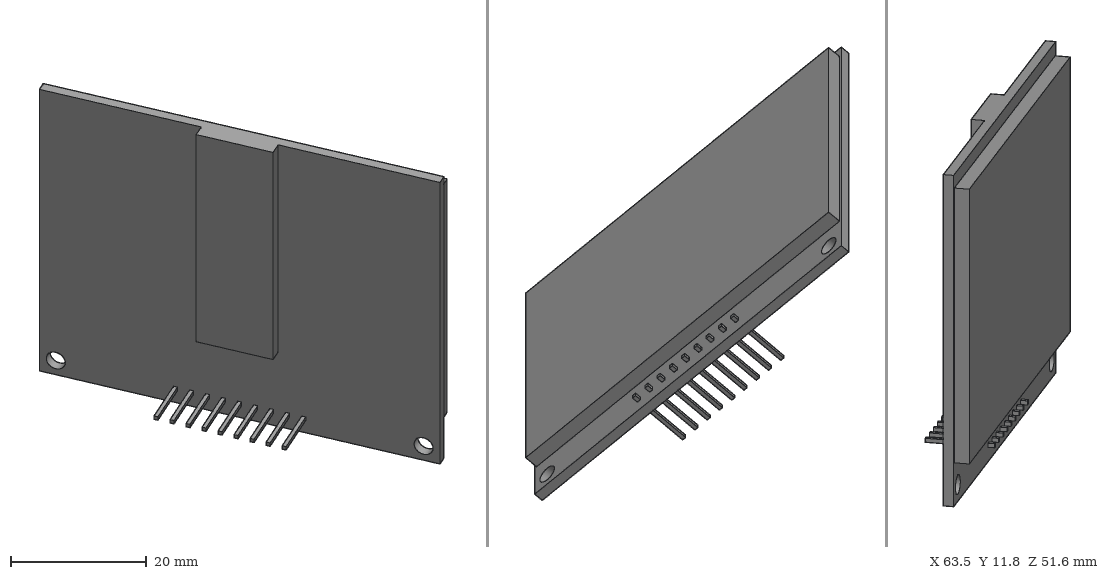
import cadquery as cq


board_width = 63.5
board_height = 51.6
board_thickness = 1.6

hole_diameter = 3.0
hole_inset = 2.6

block_width = 12.2
block_height = 38.0
block_depth = 2.05

pin_count = 9
pin_pitch = 2.55
pin_size = 0.65
pin_front_length = 7.95
pin_back_length = 1.0
pin_row_height = hole_inset

panel_width = 62.75
panel_height = 42.8
panel_thickness = 2.3
panel_top_margin = 2.1


def box(width, depth, height, front, bottom):
    """Box centred on X = 0, with its front face at Y = front and its underside at Z = bottom."""
    return cq.Workplane("XY").box(width, depth, height, centered=(True, False, False)).translate(
        (0, front, bottom)
    )


def make_blank_board():
    """Plain board with the two mounting holes."""
    board = box(board_width, board_thickness, board_height, 0, 0)
    hole_offset = board_width / 2 - hole_inset
    holes = (
        cq.Workplane("XZ")
        .pushPoints([(-hole_offset, hole_inset), (hole_offset, hole_inset)])
        .circle(hole_diameter / 2)
        .extrude(-board_thickness)
    )
    return board.cut(holes)


def make_connector_block():
    return box(block_width, block_depth, block_height, -block_depth, board_height - block_height)


def make_pin(x):
    """Square pin at X = x that sticks out on both faces of the board."""
    length = pin_front_length + board_thickness + pin_back_length
    pin = box(pin_size, length, pin_size, -pin_front_length, pin_row_height - pin_size / 2)
    return pin.translate((x, 0, 0))


def make_circuit_board():
    """Board, connector block and header pins as one solid."""
    board = make_blank_board().union(make_connector_block())
    for index in range(pin_count):
        x = (index - (pin_count - 1) / 2) * pin_pitch
        board = board.union(make_pin(x))
    return board


def make_display_panel():
    panel_bottom = board_height - panel_top_margin - panel_height
    return box(panel_width, panel_thickness, panel_height, board_thickness, panel_bottom)


circuit_board = make_circuit_board()
display_panel = make_display_panel()

result = cq.Compound.makeCompound([circuit_board.val(), display_panel.val()])